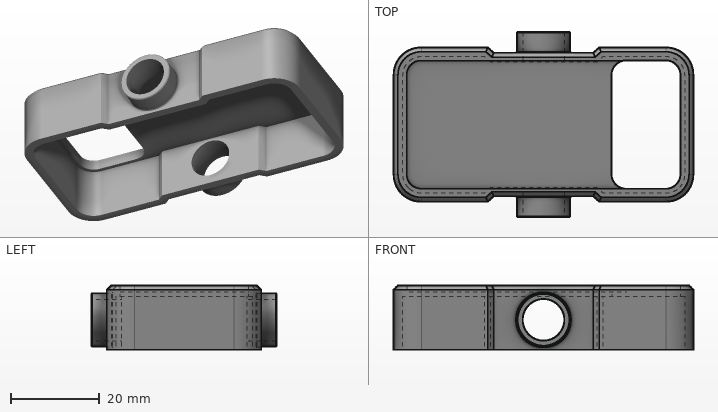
import cadquery as cq

LENGTH = 67.5
WIDTH = 34.8
HEIGHT = 14.5
OUTER_CORNER_RADIUS = 6.2
RIM_CHAMFER = 1.0

WAIST_DEPTH = 1.2
WAIST_BOTTOM_LENGTH = 22.4
WAIST_TOP_LENGTH = 25.1

RIM_WALL = 3.0
CAVITY_WALL = 2.0
POCKET_DEPTH = 1.4
PLATE_THICKNESS = 1.0

WINDOW_START_X = 15.3

BOSS_SPAN = 41.7
BOSS_DIAMETER = 12.0
BORE_DIAMETER = 9.3
BOSS_AXIS_HEIGHT = 6.75
BOSS_EDGE_CHAMFER = 0.2

SIDES = (-1, 1)

pocket_end_x = LENGTH / 2 - RIM_WALL
pocket_width = WIDTH - 2 * RIM_WALL
pocket_corner_radius = OUTER_CORNER_RADIUS - RIM_WALL
plate_top = HEIGHT - POCKET_DEPTH
plate_bottom = plate_top - PLATE_THICKNESS
waist_half_width = WIDTH / 2 - WAIST_DEPTH


def rounded_block(x_start, x_end, width, z_start, z_end, corner_radius):
    """Block centred on Y, with rounded vertical edges."""
    return (
        cq.Workplane("XY", origin=((x_start + x_end) / 2, 0, z_start))
        .rect(x_end - x_start, width)
        .extrude(z_end - z_start)
        .edges("|Z")
        .fillet(corner_radius)
    )


def waist_cutter(side):
    """Trapezoidal recess running the full height of the long wall on one side (+1 or -1)."""
    return (
        cq.Workplane("XY")
        .polyline([
            (-WAIST_TOP_LENGTH / 2, side * WIDTH / 2),
            (-WAIST_BOTTOM_LENGTH / 2, side * waist_half_width),
            (WAIST_BOTTOM_LENGTH / 2, side * waist_half_width),
            (WAIST_TOP_LENGTH / 2, side * WIDTH / 2),
        ])
        .close()
        .extrude(HEIGHT)
    )


def boss(side):
    """Solid round boss on one side, with a chamfered tip and a small flare at its base."""
    radius = BOSS_DIAMETER / 2
    flare_radius = radius + BOSS_EDGE_CHAMFER
    root = waist_half_width - CAVITY_WALL
    tip = BOSS_SPAN / 2
    half_section = [
        (0, root),
        (flare_radius, root),
        (flare_radius, waist_half_width),
        (radius, waist_half_width + BOSS_EDGE_CHAMFER),
        (radius, tip - BOSS_EDGE_CHAMFER),
        (radius - BOSS_EDGE_CHAMFER, tip),
        (0, tip),
    ]
    return (
        cq.Workplane("XY", origin=(0, 0, BOSS_AXIS_HEIGHT))
        .polyline([(r, side * y) for r, y in half_section])
        .close()
        .revolve(360, (0, 0, 0), (0, 1, 0))
    )


body = rounded_block(-LENGTH / 2, LENGTH / 2, WIDTH, 0, HEIGHT, OUTER_CORNER_RADIUS)
for side in SIDES:
    body = body.cut(waist_cutter(side))

cavity = (
    body.faces("<Z")
    .wires()
    .toPending()
    .offset2D(-CAVITY_WALL, "intersection")
    .extrude(plate_bottom, combine=False)
)

body = body.faces(">Z").edges().chamfer(RIM_CHAMFER)
for side in SIDES:
    body = body.union(boss(side))

pocket = rounded_block(
    -pocket_end_x, pocket_end_x, pocket_width, plate_top, HEIGHT, pocket_corner_radius
)
window = rounded_block(
    WINDOW_START_X, pocket_end_x, pocket_width, plate_bottom, plate_top, pocket_corner_radius
)

bore = (
    cq.Workplane("XZ", origin=(0, 0, BOSS_AXIS_HEIGHT))
    .circle(BORE_DIAMETER / 2)
    .extrude(BOSS_SPAN / 2, both=True)
)

result = body.cut(cavity).cut(pocket).cut(window).cut(bore)